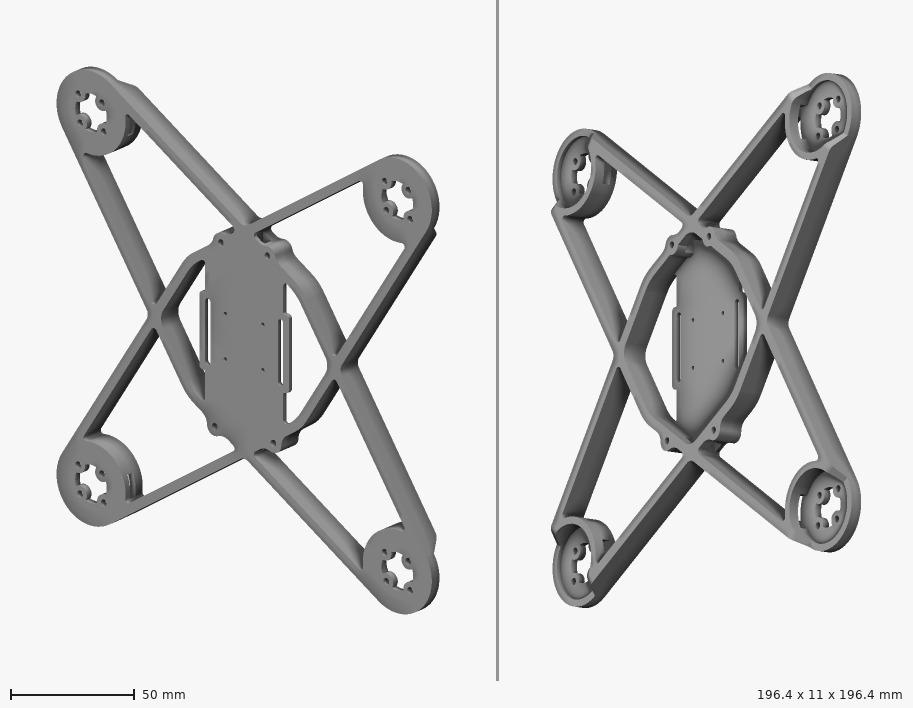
import cadquery as cq
import math

half_span = 98.2
frame_depth = 11.0

pad_radius = 18.0
pad_depth = 5.0
pad_center = half_span - pad_radius
recess_radius = 15.1
recess_floor = 3.0
pad_bore_radius = 8.2
motor_hole_diameter = 3.0
motor_lug_radius = 3.5
long_bolt_radius = 9.5
short_bolt_radius = 8.0
wire_slot_length = 14.0
wire_slot_top = 6.5

window_inner_x = 4.5
window_outer_x = 9.2
window_inner_z = 35.4
window_outer_z = 47.1

outer_crossing = 49.7
arm_width = 4.1
crossing_round = 4.0
ring_vertex_round = 6.9
notch_round = 1.5
pad_corner_round = 1.4
arm_end_round = 4.0
ring_round = 19.6

plate_depth = 2.0
plate_half_width = 20.5
plate_corner_round = 1.4
flange_half_width = 23.4
flange_length = 33.8
flange_round = 1.5
strap_slot_offset = 19.0
strap_slot_width = 2.7
strap_slot_length = 28.7
board_hole_pitch = 19.6
board_hole_diameter = 1.8

boss_radius = 4.1
boss_hole_diameter = 3.0
boss_height = 40.0
upper_boss_offset = 12.2
lower_boss_offset = 15.3
boss_round = 5.9

arm_angle = (math.atan2(pad_center - outer_crossing, pad_center)
             + math.asin(pad_radius / math.hypot(pad_center, pad_center - outer_crossing)))
arm_slope = math.tan(arm_angle)
inner_crossing = outer_crossing - arm_width / math.cos(arm_angle)
along = (math.cos(arm_angle), -math.sin(arm_angle))
outward = (math.sin(arm_angle), math.cos(arm_angle))
pad_spots = [(sx * pad_center, sz * pad_center) for sx in (-1, 1) for sz in (-1, 1)]
boss_spots = [(side * offset, height)
              for offset, height in ((upper_boss_offset, boss_height), (lower_boss_offset, -boss_height))
              for side in (-1, 1)]


def sketch_plane(depth=0.0):
    """XZ plane at the given depth; extruding goes toward +Y and local coordinates are (-X, Z)."""
    return cq.Workplane(cq.Plane(origin=(0, depth, 0), xDir=(-1, 0, 0), normal=(0, 1, 0)))


def flip(points):
    """Turn (X, Z) points into the local coordinates of sketch_plane."""
    return [(-x, z) for x, z in points]


def prism(points, depth):
    return sketch_plane().polyline(flip(points)).close().extrude(depth)


def discs(spots, radius, depth, start=0.0):
    return sketch_plane(start).pushPoints(flip(spots)).circle(radius).extrude(depth)


def eight_fold(x, z):
    """All distinct images of a point under the symmetry of the arm layout."""
    images = [(sx * a, sz * b) for a, b in ((x, z), (z, x)) for sx in (-1, 1) for sz in (-1, 1)]
    return {(round(a, 6) + 0.0, round(b, 6) + 0.0) for a, b in images}


def round_corners(body, spots, radius):
    """Fillet the edges along Y that stand at the given (X, Z) spots."""
    reach = 0.1
    picked = []
    for x, z in spots:
        box = cq.selectors.BoxSelector((x - reach, -2, z - reach), (x + reach, frame_depth + 2, z + reach))
        picked += body.edges("|Y").edges(box).vals()
    return body.newObject(picked).fillet(radius)


def pad_point(t, v):
    """Point beside the upper left pad: t along its upper arm, v outward from the pad centre."""
    return (-pad_center + t * along[0] + v * outward[0],
            pad_center + t * along[1] + v * outward[1])


def arm_frame():
    ring_outer = outer_crossing / (1 + arm_slope)
    ring_inner = inner_crossing / (1 + arm_slope)
    arm = [pad_point(0, pad_radius), (ring_outer, ring_outer),
           (ring_inner, ring_inner), pad_point(0, pad_radius - arm_width)]
    body = discs(pad_spots, pad_radius, frame_depth)
    for sx in (-1, 1):
        for sz in (-1, 1):
            body = body.union(prism([(sx * x, sz * z) for x, z in arm], frame_depth))
            body = body.union(prism([(sx * z, sz * x) for x, z in arm], frame_depth))

    inner_line = pad_radius - arm_width
    pad_corner = pad_point(math.sqrt(pad_radius**2 - inner_line**2), inner_line)
    notch = ((outer_crossing - inner_crossing) / (2 * arm_slope), (outer_crossing + inner_crossing) / 2)
    body = round_corners(body, eight_fold(outer_crossing, 0), crossing_round)
    body = round_corners(body, eight_fold(inner_crossing, 0), ring_vertex_round)
    body = round_corners(body, eight_fold(*notch), notch_round)
    body = round_corners(body, eight_fold(*pad_corner), pad_corner_round)
    for corner in (ring_outer, ring_inner):
        body = round_corners(body, eight_fold(corner, corner), ring_round)
    return body


def add_bosses(body):
    body = body.union(discs(boss_spots, boss_radius, frame_depth))
    corners = []
    for x, z in boss_spots:
        gap = (outer_crossing - abs(x) * arm_slope - abs(z)) * math.cos(arm_angle)
        half_chord = math.sqrt(boss_radius**2 - gap**2)
        for t in (-half_chord, half_chord):
            corner_x = abs(x) + gap * outward[0] + t * along[0]
            corner_z = abs(z) + gap * outward[1] + t * along[1]
            corners.append((math.copysign(corner_x, x), math.copysign(corner_z, z)))
    return round_corners(body, corners, boss_round)


def center_plate():
    edge_height = outer_crossing - plate_half_width * arm_slope
    outline = [(0, outer_crossing), (plate_half_width, edge_height), (plate_half_width, -edge_height),
               (0, -outer_crossing), (-plate_half_width, -edge_height), (-plate_half_width, edge_height)]
    flange = sketch_plane().rect(2 * flange_half_width, flange_length).extrude(plate_depth)
    flange = flange.edges("|Y").fillet(flange_round)
    plate = prism(outline, plate_depth).union(flange)
    roots = [(sx * plate_half_width, sz * flange_length / 2) for sx in (-1, 1) for sz in (-1, 1)]
    return round_corners(plate, roots, flange_round / 2)


def add_plate(body):
    corner_z = inner_crossing - plate_half_width * arm_slope
    corners = [(sx * plate_half_width, sz * corner_z) for sx in (-1, 1) for sz in (-1, 1)]
    return round_corners(body.union(center_plate()), corners, plate_corner_round)


def plate_openings():
    slots = (sketch_plane().pushPoints([(-strap_slot_offset, 0), (strap_slot_offset, 0)])
             .slot2D(strap_slot_length, strap_slot_width, 90).extrude(frame_depth))
    board_holes = (sketch_plane().rect(board_hole_pitch, board_hole_pitch, forConstruction=True)
                   .vertices().circle(board_hole_diameter / 2).extrude(frame_depth))
    boss_holes = discs(boss_spots, boss_hole_diameter / 2, frame_depth)
    return slots.union(board_holes).union(boss_holes)


def motor_opening(x, z):
    """Central bore with a lug left around each of the four bolt holes."""
    bolts = [(x + sx * r * math.sqrt(0.5), z + sz * r * math.sqrt(0.5))
             for sx, sz, r in ((-1, 1, long_bolt_radius), (1, -1, long_bolt_radius),
                               (1, 1, short_bolt_radius), (-1, -1, short_bolt_radius))]
    bore = discs([(x, z)], pad_bore_radius, frame_depth).cut(discs(bolts, motor_lug_radius, frame_depth))
    return bore.union(discs(bolts, motor_hole_diameter / 2, frame_depth))


def wire_windows():
    window = cq.Workplane("XY", origin=(window_inner_x, plate_depth, window_inner_z)).box(
        window_outer_x - window_inner_x, wire_slot_top - plate_depth, window_outer_z - window_inner_z,
        centered=False)
    upper_pair = window.union(window.mirror("YZ"))
    return upper_pair.union(upper_pair.mirror("XY"))


def arm_end_cut():
    """Cuts away the outer rim behind the upper left pad, ending its upper arm in a 45 degree slope."""
    rise = frame_depth - pad_depth
    reach = 2 * pad_radius
    plane = cq.Plane(origin=(-pad_center, pad_depth, pad_center),
                     xDir=(along[0], 0, along[1]), normal=(outward[0], 0, outward[1]))
    tangent = arm_end_round * math.tan(math.pi / 8)
    slope_top = rise - tangent * math.sqrt(0.5)
    cut = (cq.Workplane(plane).moveTo(-reach, 0).lineTo(0, 0).lineTo(slope_top, slope_top)
           .tangentArcPoint((rise + tangent, rise), relative=False)
           .lineTo(-reach, rise).close().extrude(reach))
    diagonal = cq.Plane(origin=(-pad_center, 0, pad_center), xDir=(0, 1, 0), normal=(1, 0, 1))
    return cut.intersect(cq.Workplane(diagonal).rect(2 * reach, 2 * reach).extrude(2 * reach))


def pad_recess():
    """Everything removed behind the upper left pad, including the wire slot through the inner wall."""
    recess = discs([(-pad_center, pad_center)], recess_radius, frame_depth - recess_floor, recess_floor)
    upper_end = arm_end_cut()
    lower_end = upper_end.mirror(cq.Vector(1, 0, 1), (0, 0, 0))
    wire_slot = (cq.Workplane("XY", origin=(-pad_center, recess_floor, pad_center))
                 .box(pad_radius, wire_slot_top - recess_floor, wire_slot_length, centered=(False, False, True)))
    return recess.union(upper_end).union(lower_end).union(wire_slot)


result = add_plate(add_bosses(arm_frame())).cut(plate_openings()).cut(wire_windows())
corner_recess = pad_recess()
upper_recesses = corner_recess.union(corner_recess.mirror("YZ"))
result = result.cut(upper_recesses).cut(upper_recesses.mirror("XY"))
for pad_x, pad_z in pad_spots:
    result = result.cut(motor_opening(pad_x, pad_z))